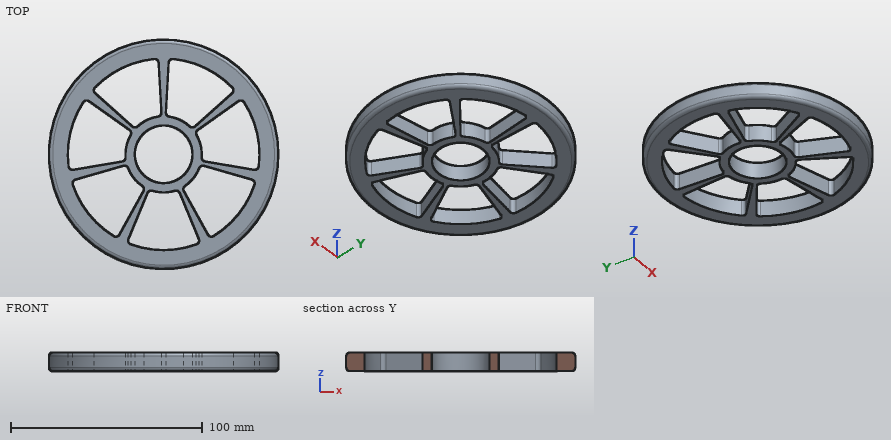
import cadquery as cq
import math

outer_diameter = 120.0
thickness = 10.0
bore_diameter = 30.0
hub_diameter = 40.0
rim_inner_diameter = 100.0
rim_fillet = 2.0
window_count = 7
window_angle = 45.0
first_window_angle = -90.0
window_corner_radius = 2.0

window_pitch = 360.0 / window_count


def polar_point(radius, angle):
    """Point at a radius and an angle in degrees about the wheel axis."""
    return (radius * math.cos(math.radians(angle)), radius * math.sin(math.radians(angle)))


def make_disc():
    """Bored disc with both outer edges rounded."""
    disc = cq.Workplane("XY").circle(outer_diameter / 2).extrude(thickness)
    disc = disc.edges().fillet(rim_fillet)
    bore = cq.Workplane("XY").circle(bore_diameter / 2).extrude(thickness)
    return disc.cut(bore)


def make_window(middle_angle):
    """Ring-sector cutter between hub and rim, with rounded corners."""
    inner_radius = hub_diameter / 2
    outer_radius = rim_inner_diameter / 2
    start_angle = middle_angle - window_angle / 2
    end_angle = middle_angle + window_angle / 2
    return (
        cq.Workplane("XY")
        .moveTo(*polar_point(inner_radius, start_angle))
        .lineTo(*polar_point(outer_radius, start_angle))
        .threePointArc(polar_point(outer_radius, middle_angle), polar_point(outer_radius, end_angle))
        .lineTo(*polar_point(inner_radius, end_angle))
        .threePointArc(polar_point(inner_radius, middle_angle), polar_point(inner_radius, start_angle))
        .close()
        .extrude(thickness)
        .edges("|Z")
        .fillet(window_corner_radius)
    )


result = make_disc()
for index in range(window_count):
    result = result.cut(make_window(first_window_angle + index * window_pitch))